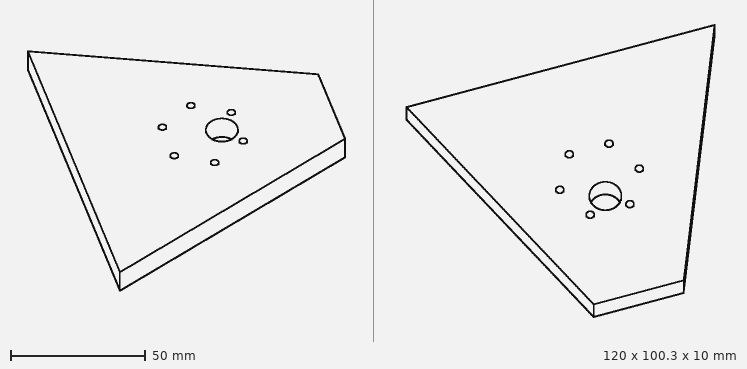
import cadquery as cq

base_width = 120.0
top_width = 35.0
depth = 100.3
thickness = 10.0

shaft_hole_diameter = 12.0
shaft_offset = 7.5

bolt_hole_diameter = 3.0
bolt_circle_radius = 15.5
bolt_count = 6

plate = (
    cq.Workplane("XY")
    .polyline([
        (-base_width / 2, -depth / 2),
        (base_width / 2, -depth / 2),
        (top_width / 2, depth / 2),
        (-top_width / 2, depth / 2),
    ])
    .close()
    .extrude(thickness)
)

shaft_hole = (
    cq.Workplane("XY")
    .center(0, shaft_offset)
    .circle(shaft_hole_diameter / 2)
    .extrude(thickness)
)

bolt_holes = (
    cq.Workplane("XY")
    .polarArray(bolt_circle_radius, 0, 360, bolt_count)
    .circle(bolt_hole_diameter / 2)
    .extrude(thickness)
)

result = plate.cut(shaft_hole).cut(bolt_holes)